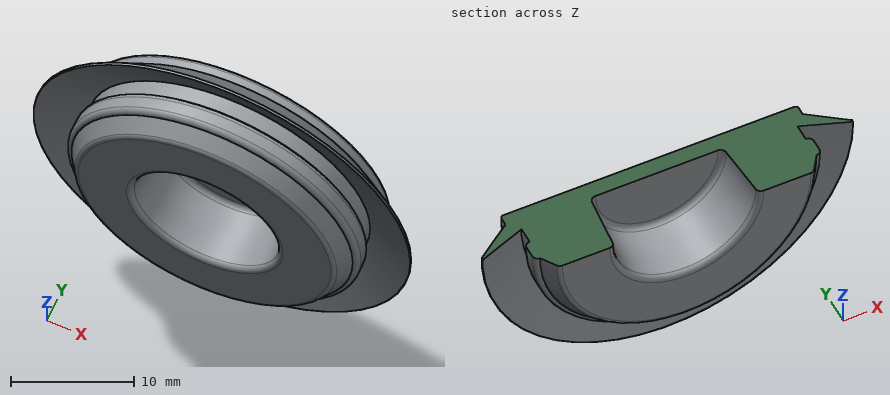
import cadquery as cq
import math

total_depth = 7.0
edge_radius = 0.5

nose_front_radius = 11.5
collar_radius = 13.0
nose_rear_radius = collar_radius - edge_radius
collar_front = 1.5
collar_rear = 3.5

neck_radius = collar_radius - edge_radius

lip_radius = 16.75
lip_front = 3.4
lip_edge_width = 0.25
lip_front_angle = 20
lip_root_rise = (lip_radius - neck_radius) * math.tan(math.radians(lip_front_angle))
lip_root_depth = lip_front + lip_root_rise

disc_radius = 13.45
disc_front = 6.0
disc_edge_radius = 0.3

pocket_mouth_radius = 6.5
pocket_floor_radius = 6.0
pocket_depth = 5.5


def spin(outline):
    """Revolve a half outline a full turn about the Y axis."""
    return outline.revolve(360, (0, 0, 0), (0, 1, 0))


def make_body():
    outline = (
        cq.Workplane("XY")
        .lineTo(nose_front_radius, 0)
        .lineTo(nose_rear_radius, collar_front)
        .radiusArc((collar_radius, collar_front + edge_radius), -edge_radius)
        .lineTo(collar_radius, collar_rear - edge_radius)
        .radiusArc((neck_radius, collar_rear), -edge_radius)
        .lineTo(neck_radius, lip_root_depth)
        .lineTo(lip_radius, lip_front)
        .lineTo(lip_radius, lip_front + lip_edge_width)
        .lineTo(disc_radius, disc_front)
        .lineTo(disc_radius, total_depth - disc_edge_radius)
        .radiusArc((disc_radius - disc_edge_radius, total_depth), -disc_edge_radius)
        .lineTo(0, total_depth)
        .close()
    )
    body = spin(outline)
    return body.faces("<Y").edges().fillet(edge_radius)


def make_pocket():
    outline = (
        cq.Workplane("XY")
        .lineTo(pocket_mouth_radius, 0)
        .lineTo(pocket_floor_radius, pocket_depth)
        .lineTo(0, pocket_depth)
        .close()
    )
    pocket = spin(outline)
    return pocket.faces(">Y").edges().fillet(edge_radius)


def cut_pocket(body):
    pocketed = body.cut(make_pocket())
    mouth_edge = pocketed.faces("<Y").edges(cq.selectors.RadiusNthSelector(0))
    return mouth_edge.fillet(edge_radius)


result = cut_pocket(make_body())